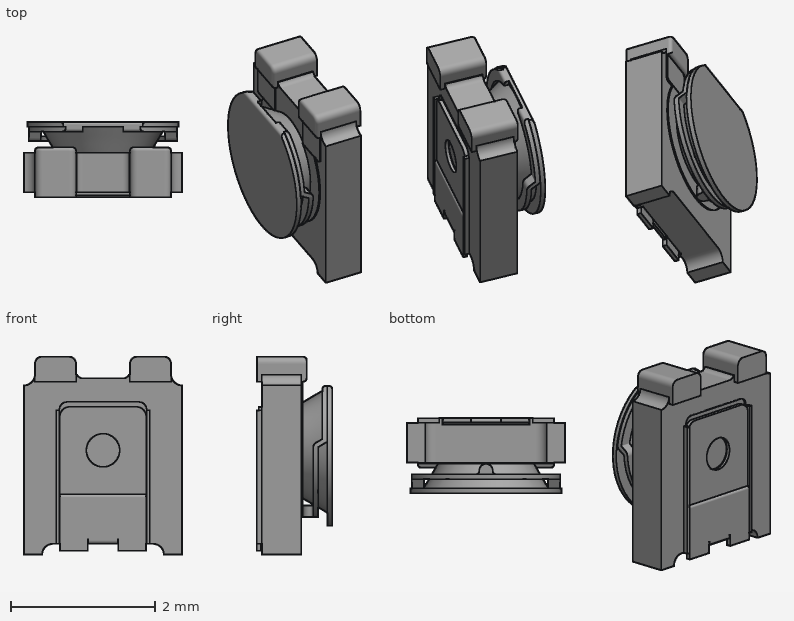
import cadquery as cq
import math


block_width = 2.2
block_depth = 0.55
shoulder_z = 2.35
middle_top_z = 2.45
middle_fillet = 0.095
underside_z = 0.148
foot_inner_x = 0.845

pad_inner_x = 0.375
pad_outer_x = 0.945
pad_bottom_z = 2.4
pad_top_z = 2.75
pad_front_y = -0.07
pad_back_y = 0.625
pad_top_fillet = 0.1
pad_back_fillet = 0.05

pocket_half_width = 0.605
pocket_top_z = 2.12
pocket_corner = 0.105
pocket_depth = 0.025
rail_width = 0.047
rail_top_z = 2.002
rail_height = 0.072

plate_gap = 0.005
plate_thickness = 0.06
plate_back_y = 0.016
plate_top_z = 2.052
plate_bottom_z = 0.052
plate_corner = 0.132
plate_step_top_z = 0.835
plate_step_bottom_z = 0.81
plate_step_fillet = 0.033
notch_half_width = 0.212
slit_width = 0.008
slit_top_z = 0.215
strap_fillet = 0.05

axis_z = 1.45
shaft_radius = 0.23
shaft_recess = 0.05
electrode_thickness = 0.02
electrode_radius = 0.93
electrode_top = 0.517
electrode_corner = 0.055
stator_leg_inner_x = 0.425
cone_base_radius = 0.657
cone_top_radius = 0.87
sheet_thickness = 0.07
disc_back_y = 0.98
disc_radius = 1.05
fold_top = 0.895
fold_radius = 0.04
fold_gap_half_width = 0.28

washer_outer_radius = 1.035
washer_inner_radius = 0.87
washer_shift = 0.105
joggle_offset = 0.13
joggle_top = 0.157
joggle_bottom = 0.082
joggle_lag = 0.038
joggle_inner_bend = 0.015
bump_radius = 0.094
bump_root_radius = 0.047

disc_front_y = disc_back_y - sheet_thickness
washer_front_y = disc_front_y - sheet_thickness
washer_low_front_y = washer_front_y - joggle_offset
electrode_back_y = block_depth + electrode_thickness


def box(x_range, y_range, z_range):
    """Box between the given (low, high) limits on each axis."""
    sizes = [high - low for low, high in (x_range, y_range, z_range)]
    corner = (x_range[0], y_range[0], z_range[0])
    return cq.Workplane("XY").box(*sizes, centered=False).translate(corner)


def both_sides(shape):
    """The shape together with its mirror image across X = 0."""
    return shape.union(shape.mirror("YZ"))


def cylinder(radius, y_front, y_back, z=axis_z):
    """Cylinder along Y, on the middle plane X = 0."""
    plane = cq.Workplane("XZ", origin=(0, y_front, z))
    return plane.circle(radius).extrude(y_front - y_back)



def make_block():
    """Block with concave shoulders beside the pads and a rounded gap between its feet."""
    half_width = block_width / 2
    shoulder_radius = half_width - pad_outer_x
    block = box((-half_width, half_width), (0, block_depth), (0, pad_bottom_z + pad_top_fillet))

    shoulder = box((pad_outer_x, half_width + shoulder_radius), (0, block_depth), (shoulder_z, pad_top_z))
    shoulder = shoulder.edges("|Y and <X and <Z").fillet(shoulder_radius)
    saddle = box((-pad_inner_x, pad_inner_x), (0, block_depth), (middle_top_z, pad_top_z))
    saddle = saddle.edges("|Y and <Z").fillet(middle_fillet)
    foot_gap = box((-foot_inner_x, foot_inner_x), (0, block_depth), (-underside_z, underside_z))
    foot_gap = foot_gap.edges("|Y and >Z").fillet(underside_z)
    return block.cut(both_sides(shoulder)).cut(saddle).cut(foot_gap)


def make_pad():
    """Right-hand solder pad with rounded top corners and a rounded back rim."""
    pad = box((pad_inner_x, pad_outer_x), (pad_front_y, pad_back_y), (pad_bottom_z, pad_top_z))
    pad = pad.edges("|Y and >Z").fillet(pad_top_fillet)
    return pad.faces(">Y").edges().fillet(pad_back_fillet)


def make_stator_leg():
    """Thin electrode running down the back of the block from the right-hand pad."""
    leg = box(
        (stator_leg_inner_x, pad_outer_x),
        (block_depth, electrode_back_y),
        (axis_z + electrode_top, pad_bottom_z),
    )
    return leg.edges("|Y and >X and <Z").fillet(electrode_corner)


def make_rail():
    """Right-hand rail beside the terminal plate."""
    return box(
        (pocket_half_width, pocket_half_width + rail_width),
        (-rail_height, 0),
        (underside_z, rail_top_z),
    )


def make_housing():
    pocket = box((-pocket_half_width, pocket_half_width), (0, pocket_depth), (0, pocket_top_z))
    pocket = pocket.edges("|Y and >Z").fillet(pocket_corner)
    bore = cylinder(shaft_radius, 0, block_depth)
    housing = make_block()
    for right_half in (make_pad(), make_stator_leg(), make_rail()):
        housing = housing.union(both_sides(right_half))
    return housing.cut(pocket).cut(bore)



def make_terminal_plate():
    """Plate in the pocket, stepped forward below, with a rounded strap between two slits."""
    half_width = pocket_half_width - plate_gap
    upper_front_y = plate_back_y - plate_thickness
    lower_front_y = -rail_height
    side_profile = [
        (upper_front_y, plate_top_z),
        (upper_front_y, plate_step_top_z),
        (lower_front_y, plate_step_bottom_z),
        (lower_front_y, plate_bottom_z),
        (lower_front_y + plate_thickness, plate_bottom_z),
        (lower_front_y + plate_thickness, plate_step_bottom_z),
        (plate_back_y, plate_step_top_z),
        (plate_back_y, plate_top_z),
    ]
    plate = cq.Workplane("YZ").polyline(side_profile).close().extrude(half_width, both=True)
    plate = plate.edges("|Y and >Z").fillet(plate_corner)
    plate = plate.faces("<Y").edges("|X and >Z").fillet(plate_step_fillet)

    sheet_depth = (lower_front_y, plate_back_y)
    notch = box((-notch_half_width, notch_half_width), sheet_depth, (0, slit_top_z))
    strap_half_width = notch_half_width - slit_width
    strap = box(
        (-strap_half_width, strap_half_width),
        (lower_front_y, lower_front_y + plate_thickness),
        (underside_z, slit_top_z),
    )
    strap = strap.edges("|X and <Y and <Z").fillet(strap_fillet)
    recess = cylinder(shaft_radius, upper_front_y, upper_front_y + shaft_recess)
    return plate.cut(notch).union(strap).cut(recess)


def make_cone():
    """Cone widening from the back of the block to the rotor disc."""
    ends = cq.Workplane("XZ", origin=(0, block_depth, axis_z)).circle(cone_base_radius)
    ends = ends.workplane(offset=block_depth - disc_front_y).circle(cone_top_radius)
    return ends.loft(ruled=True)


def make_rotor_electrode():
    """Thin disc at the foot of the cone, cut off flat below the stator legs."""
    disc = cylinder(electrode_radius, block_depth, electrode_back_y)
    keep = box(
        (-electrode_radius, electrode_radius),
        (block_depth, electrode_back_y),
        (axis_z - electrode_radius, axis_z + electrode_top),
    )
    return disc.intersect(keep)


def make_rotor_disc():
    """Round disc at the back, with a flat top whose back edge is rounded."""
    keep = box(
        (-disc_radius, disc_radius),
        (disc_front_y, disc_back_y),
        (axis_z - disc_radius, axis_z + fold_top),
    )
    keep = keep.edges("|X and >Y and >Z").fillet(fold_radius)
    return cylinder(disc_radius, disc_front_y, disc_back_y).intersect(keep)


def washer_overlap(radius):
    """Common part of two cylinders, on the rotor axis and shifted up along Z."""
    low = cylinder(radius, washer_low_front_y, disc_front_y)
    high = cylinder(radius, washer_low_front_y, disc_front_y, axis_z + washer_shift)
    return low.intersect(high)


def make_spring_washer():
    """Ring that lies on the disc above, and steps away from it below the joggle."""
    low_back_y = washer_low_front_y + sheet_thickness
    side_profile = [
        (disc_front_y, fold_top),
        (washer_front_y, fold_top),
        (washer_front_y, joggle_top),
        (washer_low_front_y, joggle_bottom),
        (washer_low_front_y, -washer_outer_radius),
        (low_back_y, -washer_outer_radius),
        (low_back_y, joggle_bottom - joggle_lag),
        (disc_front_y, joggle_top - joggle_lag),
    ]
    sheet = cq.Workplane("YZ", origin=(0, 0, axis_z)).polyline(side_profile).close()
    sheet = sheet.extrude(washer_outer_radius, both=True)
    joggle_corners = [
        ((washer_front_y, joggle_top), joggle_inner_bend),
        ((washer_low_front_y, joggle_bottom), joggle_inner_bend + sheet_thickness),
        ((low_back_y, joggle_bottom - joggle_lag), joggle_inner_bend),
    ]
    for (y, height), bend in joggle_corners:
        corner = cq.selectors.NearestToPointSelector((0, y, axis_z + height))
        sheet = sheet.edges("|X").edges(corner).fillet(bend)
    sheet = sheet.faces(">Z").edges("<Y").fillet(fold_radius)
    ring = washer_overlap(washer_outer_radius).cut(washer_overlap(washer_inner_radius))
    gap = box(
        (-fold_gap_half_width, fold_gap_half_width),
        (washer_front_y, disc_front_y),
        (axis_z, axis_z + fold_top),
    )
    return ring.intersect(sheet).cut(gap)


def make_contact_bump():
    """Round-nosed bump at the bottom of the washer that bears on the rotor electrode."""
    root_y = washer_low_front_y
    half_base = bump_radius + bump_root_radius
    shoulder_y = root_y - bump_root_radius
    bend = bump_root_radius * (1 - math.cos(math.radians(45)))
    bottom_z = axis_z + washer_shift - washer_outer_radius
    width = washer_outer_radius - washer_inner_radius
    outline = (
        cq.Workplane("XY", origin=(0, 0, bottom_z))
        .moveTo(-half_base, root_y)
        .threePointArc((-bump_radius - bend, root_y - bend), (-bump_radius, shoulder_y))
        .threePointArc((0, electrode_back_y), (bump_radius, shoulder_y))
        .threePointArc((bump_radius + bend, root_y - bend), (half_base, root_y))
        .close()
    )
    return outline.extrude(width)


def make_rotor():
    shaft = cylinder(shaft_radius, plate_back_y, block_depth)
    rotor = make_terminal_plate().union(shaft).union(make_cone())
    rotor = rotor.union(make_rotor_electrode()).union(make_rotor_disc())
    return rotor.union(make_spring_washer()).union(make_contact_bump())


housing = make_housing()
rotor = make_rotor()
result = cq.Compound.makeCompound([housing.solids().val(), rotor.solids().val()])